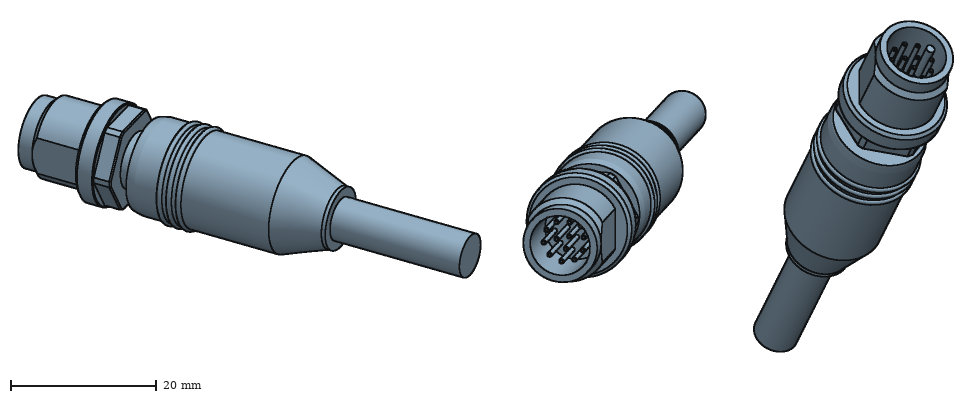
import cadquery as cq
import math

TOTAL_LENGTH = 67.5

TIP_RADIUS = 5.25
TIP_END = 2.15
SHELL_RADIUS = 6.0
SHELL_FLAT_OFFSET = TIP_RADIUS
BORE_RADIUS = 4.25
BORE_DEPTH = 8.1

COLLAR_START = 9.85
COLLAR_END = 12.75
COLLAR_RADIUS = 7.5
COLLAR_FRONT_CHAMFER = 0.5
COLLAR_REAR_CHAMFER = 0.15

NUT_END = 15.3
NUT_FLAT_OFFSET = 6.4
NUT_CORNER_RADIUS = 7.15
NUT_CHAMFER = 0.2

NECK_RADIUS = 4.2
GRIP_RADIUS = 7.1
GRIP_START = 17.55
GRIP_START_RADIUS = 6.75
LEAD_IN_EDGE = 17.95
LEAD_IN_EDGE_RADIUS = 6.9
LEAD_IN_END = 19.0
TAPER_START = 39.9
TAPER_END = 46.8
GRIP_END = 47.4
GRIP_END_RADIUS = 4.6
CABLE_RADIUS = 3.2

RING_COUNT = 3
FIRST_RING_CENTRE = 22.9
RING_PITCH = 1.5
RING_SECTION_RADIUS = COLLAR_RADIUS - GRIP_RADIUS

PIN_RADIUS = 0.35
PIN_TIP_CHAMFER = 0.15
PIN_START = 1.95
KEY_ANGLE = 45.0
KEY_RADIUS = 0.6
KEY_CENTRE_RADIUS = 3.7
KEY_START = 2.0
INNER_PIN_COUNT = 3
INNER_PIN_CIRCLE_RADIUS = 1.1
OUTER_PIN_COUNT = 9
OUTER_PIN_CIRCLE_RADIUS = 2.9
OUTER_PIN_GAP = 58.0


def rod(start, end, radius, angle=0.0, offset=0.0):
    """Cylinder along X, set off from the axis at an angle from -Y towards +Z."""
    y = -offset * math.cos(math.radians(angle))
    z = offset * math.sin(math.radians(angle))
    return cq.Workplane("YZ", origin=(start, y, z)).circle(radius).extrude(end - start)


def turned(outline):
    """Solid of revolution about X from (x, radius) points, closed along the axis."""
    points = [(outline[0][0], 0)] + outline + [(outline[-1][0], 0)]
    return cq.Workplane("XY").polyline(points).close().revolve(360, (0, 0, 0), (1, 0, 0))


def plug_shell():
    chamfer = SHELL_RADIUS - TIP_RADIUS
    shell = turned([
        (0, TIP_RADIUS),
        (TIP_END, TIP_RADIUS),
        (TIP_END + chamfer, SHELL_RADIUS),
        (COLLAR_START, SHELL_RADIUS),
    ])
    flats = cq.Workplane("XY").box(
        COLLAR_START, 2 * SHELL_FLAT_OFFSET, 2 * SHELL_RADIUS, centered=(False, True, True))
    return shell.intersect(flats).cut(rod(0, BORE_DEPTH, BORE_RADIUS))


def collar():
    return turned([
        (COLLAR_START, COLLAR_RADIUS - COLLAR_FRONT_CHAMFER),
        (COLLAR_START + COLLAR_FRONT_CHAMFER, COLLAR_RADIUS),
        (COLLAR_END - COLLAR_REAR_CHAMFER, COLLAR_RADIUS),
        (COLLAR_END, COLLAR_RADIUS - COLLAR_REAR_CHAMFER),
    ])


def nut():
    corner_diameter = 2 * NUT_FLAT_OFFSET / math.cos(math.pi / 6)
    hexagon = (
        cq.Workplane("YZ", origin=(COLLAR_END, 0, 0))
        .polygon(6, corner_diameter)
        .extrude(NUT_END - COLLAR_END)
    )
    blank = rod(COLLAR_END, NUT_END, NUT_CORNER_RADIUS)
    return hexagon.intersect(blank).faces(">X").chamfer(NUT_CHAMFER)


def grip():
    return turned([
        (GRIP_START, GRIP_START_RADIUS),
        (LEAD_IN_EDGE, LEAD_IN_EDGE_RADIUS),
        (LEAD_IN_END, GRIP_RADIUS),
        (TAPER_START, GRIP_RADIUS),
        (TAPER_END, GRIP_END_RADIUS),
        (GRIP_END, GRIP_END_RADIUS),
    ])


def grip_ring(centre):
    section = cq.Workplane("XY").center(centre, GRIP_RADIUS).circle(RING_SECTION_RADIUS)
    return section.revolve(360, (0, -GRIP_RADIUS, 0), (1, -GRIP_RADIUS, 0))


def contact_pin(angle, offset):
    pin = rod(PIN_START, BORE_DEPTH, PIN_RADIUS, angle, offset)
    return pin.faces("<X").chamfer(PIN_TIP_CHAMFER)


def contacts():
    pins = cq.Workplane("XY")
    for i in range(INNER_PIN_COUNT):
        angle = KEY_ANGLE + i * 360 / INNER_PIN_COUNT
        pins = pins.union(contact_pin(angle, INNER_PIN_CIRCLE_RADIUS))
    outer_step = (360 - OUTER_PIN_GAP) / (OUTER_PIN_COUNT - 1)
    for i in range(OUTER_PIN_COUNT):
        angle = KEY_ANGLE + OUTER_PIN_GAP / 2 + i * outer_step
        pins = pins.union(contact_pin(angle, OUTER_PIN_CIRCLE_RADIUS))
    return pins


key = rod(KEY_START, BORE_DEPTH, KEY_RADIUS, KEY_ANGLE, KEY_CENTRE_RADIUS)
neck = rod(COLLAR_END, GRIP_START, NECK_RADIUS)
cable = rod(GRIP_START, TOTAL_LENGTH, CABLE_RADIUS)

result = plug_shell().union(collar()).union(nut()).union(neck).union(grip()).union(cable)
for i in range(RING_COUNT):
    result = result.union(grip_ring(FIRST_RING_CENTRE + i * RING_PITCH))
result = result.union(contacts()).union(key)